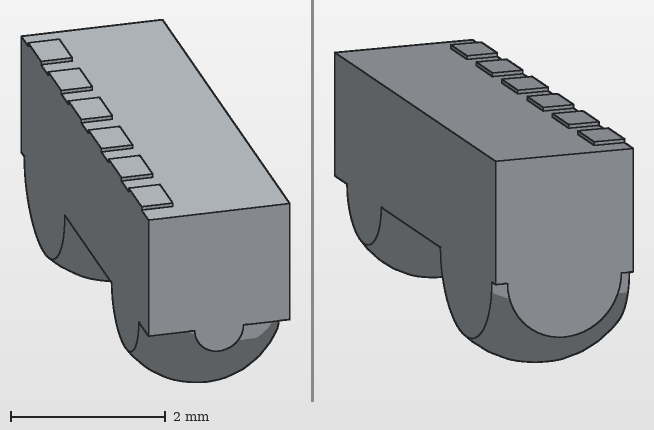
import cadquery as cq

length = 6.0
depth = 1.9
total_height = 3.05

large_lens_radius = 1.35
large_lens_x = 1.1
small_lens_radius = 1.145
small_lens_x = 4.9

pad_count = 6
pad_pitch = 0.95
pad_width = 0.605
pad_depth = 0.42
pad_thickness = 0.05

block_height = total_height - large_lens_radius - pad_thickness


def make_block():
    """Plain block with its bottom face at Z = 0 and its front face at Y = 0."""
    return cq.Workplane("XY").box(length, depth, block_height, centered=False)


def make_lens(center_x, radius):
    """Half sphere below the block, trimmed flush with the block's sides."""
    sphere = cq.Workplane("XY").sphere(radius).translate((center_x, depth / 2, 0))
    space_below_block = (
        cq.Workplane("XY")
        .box(length, depth, radius + block_height, centered=False)
        .translate((0, 0, -radius - block_height))
    )
    return sphere.intersect(space_below_block)


def make_pads():
    """Row of pads centred along the length, flush with the front face."""
    return (
        cq.Workplane("XY", origin=(length / 2, pad_depth / 2, block_height))
        .rarray(pad_pitch, 0.06, pad_count, 1)
        .rect(pad_width, pad_depth)
        .extrude(pad_thickness)
    )


result = (
    make_block()
    .union(make_lens(large_lens_x, large_lens_radius))
    .union(make_lens(small_lens_x, small_lens_radius))
    .union(make_pads())
)